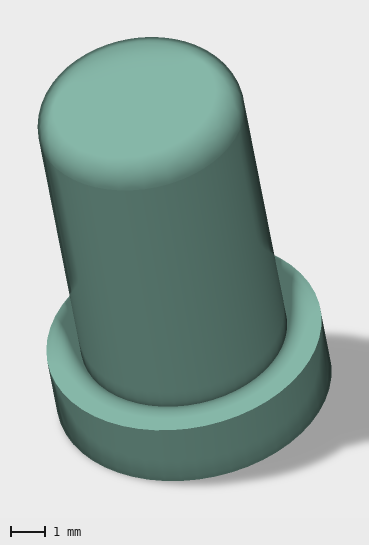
import cadquery as cq
import math

flange_diameter = 8.0
flange_height = 2.0
pin_diameter = 6.0
total_length = 11.5
tip_radius = 1.0

lean_to_minus_y = 12.2
lean_to_minus_x = 2.8
axis_direction = cq.Vector(
    -math.tan(math.radians(lean_to_minus_x)),
    -math.tan(math.radians(lean_to_minus_y)),
    1,
)

base_plane = cq.Plane(origin=(0, 0, 0), xDir=axis_direction.cross(cq.Vector(0, 1, 0)), normal=axis_direction)

flange = cq.Workplane(base_plane).circle(flange_diameter / 2).extrude(flange_height)


def rounded_pin():
    """Pin from the flange underside to the rounded free end."""
    pin = cq.Workplane(base_plane).circle(pin_diameter / 2).extrude(total_length)
    tip_face = cq.selectors.DirectionMinMaxSelector(axis_direction, True)
    return pin.faces(tip_face).edges().fillet(tip_radius)


result = flange.union(rounded_pin())